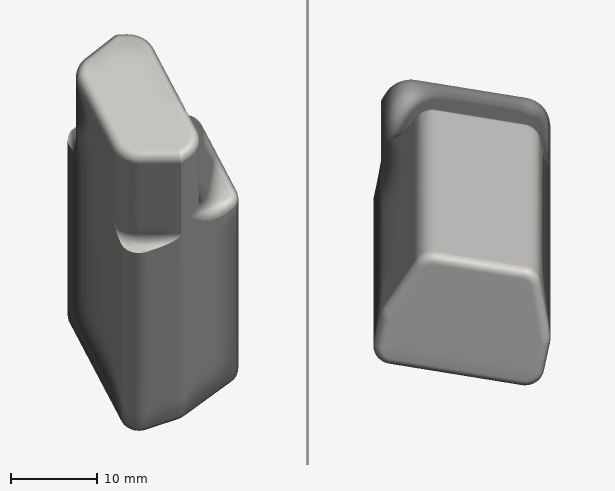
import cadquery as cq

width = 20.15
depth = 15.65
height = 50.35

widest_y = 6.75
back_width = 13.7
body_corner_radius = 2.25
side_bend_radius = 3.15

shoulder_z = 34.6
neck_depth = 10.1
neck_front_width = 14.7
neck_corner_radius = 3.35
back_flare_radius = 3.35
front_flare_radius = 1.25

rim_radius = 1.1
clearance = 15.1
post_embed = 0.5
pick_margin = 0.05

side_taper = (width - back_width) / 2 / (depth - widest_y)
front_taper = (width - neck_front_width) / 2 / widest_y


def near_y(y):
    """Selector for edges centred close to the given y."""
    return cq.selectors.BoxSelector(
        (-width, y - pick_margin, -height), (width, y + pick_margin, 2 * height)
    )


def make_body():
    half_width = width / 2
    half_back = back_width / 2
    body = (
        cq.Workplane("XY")
        .polyline([
            (-half_width, 0),
            (half_width, 0),
            (half_width, widest_y),
            (half_back, depth),
            (-half_back, depth),
            (-half_width, widest_y),
        ])
        .close()
        .extrude(height)
    )
    body = body.edges("|Z and (<Y or >Y)").fillet(body_corner_radius)
    return body.edges("|Z").edges(near_y(widest_y)).fillet(side_bend_radius)


def make_flared_neck(face_y, face_half_width, far_y, far_half_width, flare_radius):
    """Trapezoid post with two rounded corners, flaring into a wide plate at the shoulder."""
    post = (
        cq.Workplane("XY", origin=(0, 0, shoulder_z - post_embed))
        .polyline([
            (-face_half_width, face_y),
            (face_half_width, face_y),
            (far_half_width, far_y),
            (-far_half_width, far_y),
        ])
        .close()
        .extrude(height + clearance - shoulder_z + post_embed)
    )
    post = post.edges("|Z").edges(near_y(face_y)).fillet(neck_corner_radius)
    plate_size = 2 * (width + depth + clearance)
    plate = cq.Workplane("XY", origin=(0, 0, -clearance)).rect(plate_size, plate_size)
    plate = plate.extrude(shoulder_z + clearance)
    inside_plate_edge = plate_size / 3
    foot_edges = cq.selectors.BoxSelector(
        (-inside_plate_edge, -inside_plate_edge, shoulder_z - pick_margin),
        (inside_plate_edge, inside_plate_edge, shoulder_z + pick_margin),
    )
    return plate.union(post).edges(foot_edges).fillet(flare_radius)


def make_back_neck():
    back_half = width / 2 - side_taper * (neck_depth - widest_y)
    far_y = -clearance
    far_half = width / 2 + side_taper * (widest_y - far_y)
    return make_flared_neck(neck_depth, back_half, far_y, far_half, back_flare_radius)


def make_front_neck():
    far_y = depth + clearance
    far_half = neck_front_width / 2 + front_taper * far_y
    return make_flared_neck(0, neck_front_width / 2, far_y, far_half, front_flare_radius)


def round_back_shoulder_rim(body):
    """Round the outer rim; the rounding runs on up the tangent edges of the flare."""
    outer_rim = cq.selectors.BoxSelector(
        (-width, depth - pick_margin, shoulder_z - pick_margin),
        (width, depth + pick_margin, shoulder_z + pick_margin),
    )
    return body.edges(outer_rim).fillet(rim_radius)


result = make_body().intersect(make_back_neck())
result = result.faces("<Z").edges().fillet(rim_radius)
result = round_back_shoulder_rim(result)
result = result.intersect(make_front_neck())
result = result.faces(">Z").edges().fillet(rim_radius)